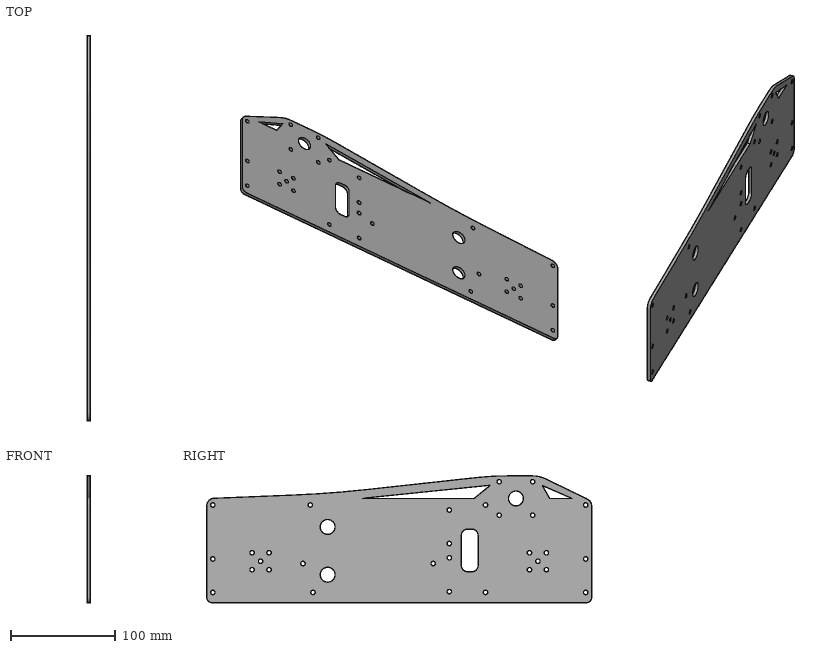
import cadquery as cq
import math

THICKNESS = 3.18
LENGTH = 369.3
HEIGHT = 122.0
HALF_LENGTH = LENGTH / 2

FRONT_SHOULDER = (HALF_LENGTH, 97.5)
CREST_START = (134.5, HEIGHT)
CREST_END = (89.5, HEIGHT)
SLOPE_BREAK = (-66.5, 105.0)
REAR_SHOULDER = (-HALF_LENGTH, 100.0)
BOTTOM_RADIUS = 5.0
SHOULDER_RADIUS = 7.5
CREST_START_RADIUS = 29.5
CREST_END_RADIUS = 277.0
SLOPE_BREAK_REACH = 35.0

WINDOW_BASE = 100.0
FRONT_WINDOW_TOP = 112.3
REAR_WINDOW_TOP = 112.5
FRONT_WINDOW = [(165.5, WINDOW_BASE), (144.5, WINDOW_BASE), (137.5, FRONT_WINDOW_TOP)]
REAR_WINDOW = [(71.5, WINDOW_BASE), (-35.5, WINDOW_BASE), (87.0, REAR_WINDOW_TOP)]

LARGE_DIAMETER = 14.0
LARGE_HOLES = [(112.0, 100.0), (-68.7, 72.8), (-68.7, 27.0)]

SLOT_CENTER = (67.5, 50.2)
SLOT_WIDTH = 16.0
SLOT_HEIGHT = 40.5
SLOT_RADIUS = 6.0

SCREW_DIAMETER = 4.0
EDGE_HOLE_Y = 178.7
LOW_ROW_Z = 10.0
MIDDLE_ROW_Z = 42.0
HIGH_ROW_Z = 93.8
CLUSTER_CENTER = (133.0, 40.0)
CLUSTER_PITCH = 16.2
MOTOR_PITCH = 32.0
COLUMN_Y = 48.0
COLUMN_HEIGHTS = [10.7, 43.2, 57.0, 89.0]
SINGLE_HOLES = [
    (82.7, HIGH_ROW_Z),
    (-85.3, HIGH_ROW_Z),
    (82.7, LOW_ROW_Z),
    (-82.7, LOW_ROW_Z),
    (32.5, 37.5),
    (-92.5, 37.5),
]


def square_pattern(center, pitch):
    """Four points on the corners of a square."""
    y, z = center
    half = pitch / 2
    return [(y + dy, z + dz) for dy in (-half, half) for dz in (-half, half)]


def screw_points():
    """All screw hole centres as (Y, Z)."""
    points = list(SINGLE_HOLES)
    for side in (1, -1):
        for z in (LOW_ROW_Z, MIDDLE_ROW_Z, HIGH_ROW_Z):
            points.append((side * EDGE_HOLE_Y, z))
        cluster = (side * CLUSTER_CENTER[0], CLUSTER_CENTER[1])
        points.append(cluster)
        points += square_pattern(cluster, CLUSTER_PITCH)
    points += [(COLUMN_Y, z) for z in COLUMN_HEIGHTS]
    points += square_pattern(LARGE_HOLES[0], MOTOR_PITCH)
    return points


def extrude(sketch):
    """Extrude a closed YZ profile through the plate thickness."""
    return sketch.extrude(THICKNESS)


def round_corner(body, corner, radius):
    """Fillet the edge along X that passes through a (Y, Z) corner."""
    middle = (THICKNESS / 2, corner[0], corner[1])
    nearest = cq.selectors.NearestToPointSelector(middle)
    return body.edges("|X").edges(nearest).fillet(radius)


def point_toward(start, target, distance):
    """Point on the line from start to target, a given distance from start."""
    dy = target[0] - start[0]
    dz = target[1] - start[1]
    share = distance / math.hypot(dy, dz)
    return (start[0] + share * dy, start[1] + share * dz)


def plate():
    """Plate blank with its rounded outline."""
    blend_start = point_toward(SLOPE_BREAK, CREST_END, SLOPE_BREAK_REACH)
    blend_end = point_toward(SLOPE_BREAK, REAR_SHOULDER, SLOPE_BREAK_REACH)
    rounded_corners = [
        ((-HALF_LENGTH, 0), BOTTOM_RADIUS),
        ((HALF_LENGTH, 0), BOTTOM_RADIUS),
        (FRONT_SHOULDER, SHOULDER_RADIUS),
        (CREST_START, CREST_START_RADIUS),
        (CREST_END, CREST_END_RADIUS),
        (REAR_SHOULDER, SHOULDER_RADIUS),
    ]
    corners = [corner for corner, radius in rounded_corners[:-1]]
    outline = (
        cq.Workplane("YZ")
        .polyline(corners)
        .lineTo(*blend_start)
        .tangentArcPoint(blend_end, relative=False)
        .lineTo(*REAR_SHOULDER)
        .close()
    )
    body = extrude(outline)
    for corner, radius in rounded_corners:
        body = round_corner(body, corner, radius)
    return body


def slot():
    """Cutter for the rounded rectangular opening."""
    outline = cq.Workplane("YZ").center(*SLOT_CENTER).rect(SLOT_WIDTH, SLOT_HEIGHT)
    return extrude(outline).edges("|X").fillet(SLOT_RADIUS)


def round_holes(points, diameter):
    """Cutter for a group of equal through holes."""
    return extrude(cq.Workplane("YZ").pushPoints(points).circle(diameter / 2))


result = plate()
for window in (FRONT_WINDOW, REAR_WINDOW):
    result = result.cut(extrude(cq.Workplane("YZ").polyline(window).close()))
result = result.cut(slot())
result = result.cut(round_holes(LARGE_HOLES, LARGE_DIAMETER))
result = result.cut(round_holes(screw_points(), SCREW_DIAMETER))